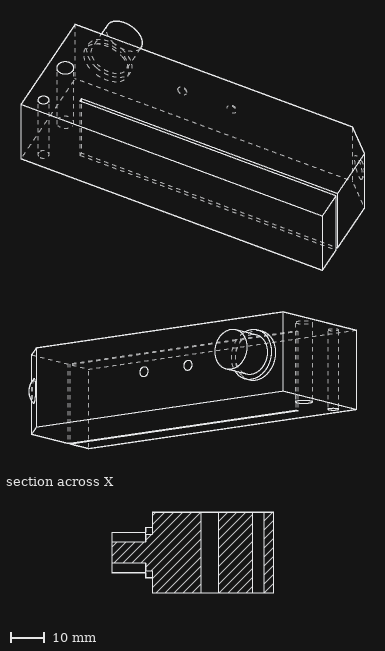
import cadquery as cq
import math

body_length = 100
body_width = 36
body_height = 24
corner_bevel = 8
bevel_tilt = 45
mid_height = body_height / 2

slot_start = 15
slot_width = 1
slot_center_y = 9.6

hole_x = 5.2
large_hole_diameter = 5
large_hole_y = 19
small_hole_diameter = 3.2
small_hole_y = 4.6

connector_x = 10.3
flange_diameter = 15
flange_thickness = 2
plug_diameter = 12
connector_length = 12

small_dome_positions = (35.5, 51.9)
small_dome_diameter = 3
small_dome_rise = 1
large_dome_diameter = 7.4
large_dome_rise = 1.5


def make_body():
    block = cq.Workplane("XY").box(body_length, body_width, body_height, centered=False)
    return block.edges("|Z and >X and >Y").chamfer(corner_bevel)


def make_slot():
    slot_length = body_length - slot_start
    return (
        cq.Workplane("XY")
        .center(slot_start + slot_length / 2, slot_center_y)
        .rect(slot_length, slot_width)
        .extrude(body_height)
    )


def make_hole(diameter, y):
    return cq.Workplane("XY").center(hole_x, y).circle(diameter / 2).extrude(body_height)


def make_connector():
    side = cq.Plane(origin=(connector_x, body_width, mid_height), xDir=(1, 0, 0), normal=(0, 1, 0))
    flange = cq.Workplane(side).circle(flange_diameter / 2).extrude(flange_thickness)
    plug = cq.Workplane(side).circle(plug_diameter / 2).extrude(connector_length)
    return flange.union(plug)


def make_dome(x, y, base_diameter, rise, tilt):
    """Spherical cap on a vertical face; tilt turns it from +Y towards +X, in degrees."""
    base_radius = base_diameter / 2
    sphere_radius = (base_radius**2 + rise**2) / (2 * rise)
    arc_angle = math.asin(base_radius / sphere_radius) / 2
    arc_middle = (
        sphere_radius * math.sin(arc_angle),
        rise - sphere_radius * (1 - math.cos(arc_angle)),
    )
    cap = (
        cq.Workplane("XY")
        .lineTo(base_radius, 0)
        .threePointArc(arc_middle, (0, rise))
        .close()
        .revolve(360, (0, 0), (0, 1))
    )
    return cap.rotate((0, 0, 0), (0, 0, 1), -tilt).translate((x, y, mid_height))


result = make_body().cut(make_slot())
result = result.cut(make_hole(large_hole_diameter, large_hole_y))
result = result.cut(make_hole(small_hole_diameter, small_hole_y))
result = result.union(make_connector())

for dome_x in small_dome_positions:
    result = result.union(make_dome(dome_x, body_width, small_dome_diameter, small_dome_rise, 0))

bevel_middle_x = body_length - corner_bevel / 2
bevel_middle_y = body_width - corner_bevel / 2
result = result.union(
    make_dome(bevel_middle_x, bevel_middle_y, large_dome_diameter, large_dome_rise, bevel_tilt)
)